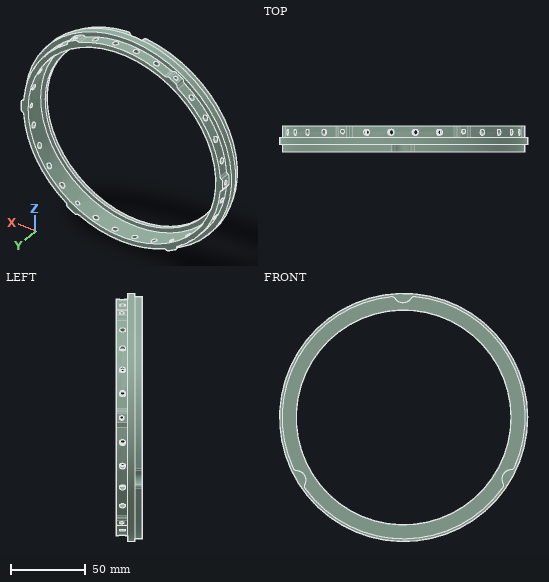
import cadquery as cq
import math

outer_radius = 83.8
front_radius = 82.0
band_radius = 80.0

bore_radius = 72.5
recess_radius = 76.1
lip_length = 2.5

front_length = 5.0
flange_length = 5.0
band_length = 7.7
total_length = front_length + flange_length + band_length
band_start = front_length + flange_length
front_face_y = -total_length / 2

clocking_angle = 0.3

hole_count = 30
hole_pitch = 360 / hole_count
hole_diameter = 4.0
hole_from_back = 4.4
boss_hole_diameter = 3.0

boss_count = 6
boss_radius = 81.8
boss_flat_half_width = 3.0
boss_blend = 2.0

notch_count = 3
notch_first_angle = 90
notch_radius = 6.4
notch_centre = 83.8
notch_blend = 2.5


def polar(radius, angle):
    """Point at a radius and an angle in radians."""
    return radius * math.cos(angle), radius * math.sin(angle)


def toward(start, end, distance):
    """Point at a distance from start, in the direction of end."""
    ratio = distance / math.dist(start, end)
    return start[0] + ratio * (end[0] - start[0]), start[1] + ratio * (end[1] - start[1])


def arc_middle(centre, first, second, radius):
    """Middle point of the short arc between two points around a centre."""
    halfway = ((first[0] + second[0]) / 2, (first[1] + second[1]) / 2)
    return toward(centre, halfway, radius)


def mirrored(point):
    return point[0], -point[1]


def crossing_angle(radius_a, radius_b, distance):
    """Angle in radians between two spokes from the ring axis whose ends are a distance apart."""
    return math.acos((radius_a**2 + radius_b**2 - distance**2) / (2 * radius_a * radius_b))


def disc(radius, start, length):
    """Round disc along Y, measured from the front face."""
    return cq.Workplane("XZ", origin=(0, front_face_y + start, 0)).circle(radius).extrude(-length)


def spin(body, angle):
    """Turn a body about the ring axis, from +X toward +Z."""
    return body.rotate((0, 0, 0), (0, 1, 0), -angle)


def make_boss():
    """Pad on the +X side of the band."""
    round_centre = (boss_radius - boss_blend, boss_flat_half_width)
    hollow_reach = band_radius + boss_blend
    hollow_angle = math.atan2(round_centre[1], round_centre[0]) + crossing_angle(
        hollow_reach, math.hypot(*round_centre), 2 * boss_blend
    )
    hollow_centre = polar(hollow_reach, hollow_angle)

    foot = polar(band_radius, hollow_angle)
    turn = toward(hollow_centre, round_centre, boss_blend)
    top = (boss_radius, boss_flat_half_width)
    hollow_middle = arc_middle(hollow_centre, foot, turn, boss_blend)
    round_middle = arc_middle(round_centre, turn, top, boss_blend)
    root = polar((recess_radius + band_radius) / 2, hollow_angle)

    outline = (
        cq.Workplane("XZ", origin=(0, front_face_y + band_start, 0))
        .moveTo(*root)
        .lineTo(*foot)
        .threePointArc(hollow_middle, turn)
        .threePointArc(round_middle, top)
        .lineTo(*mirrored(top))
        .threePointArc(mirrored(round_middle), mirrored(turn))
        .threePointArc(mirrored(hollow_middle), mirrored(foot))
        .lineTo(*mirrored(root))
    )
    return outline.close().extrude(-band_length)


def make_notch():
    """Cutter for a scallop on the +X side of the front step, with rounded mouth edges."""
    lip_reach = front_radius - notch_blend
    lip_angle = crossing_angle(lip_reach, notch_centre, notch_radius + notch_blend)
    lip_centre = polar(lip_reach, lip_angle)
    scallop_centre = (notch_centre, 0)

    mouth = polar(front_radius, lip_angle)
    turn = toward(lip_centre, scallop_centre, notch_blend)
    lip_middle = arc_middle(lip_centre, mouth, turn, notch_blend)
    bottom = (notch_centre - notch_radius, 0)
    outside = polar(outer_radius, lip_angle)

    outline = (
        cq.Workplane("XZ", origin=(0, front_face_y, 0))
        .moveTo(*outside)
        .lineTo(*mouth)
        .threePointArc(lip_middle, turn)
        .threePointArc(bottom, mirrored(turn))
        .threePointArc(mirrored(lip_middle), mirrored(mouth))
        .lineTo(*mirrored(outside))
    )
    return outline.close().extrude(-front_length)


def make_hole(diameter, from_back):
    """Radial cutter through the band wall on the +X side."""
    hole_y = front_face_y + total_length - from_back
    start = (bore_radius + recess_radius) / 2
    return (
        cq.Workplane("YZ", origin=(start, hole_y, 0))
        .circle(diameter / 2)
        .extrude(outer_radius - start)
    )


result = disc(front_radius, 0, front_length)
result = result.union(disc(outer_radius, front_length, flange_length))
result = result.union(disc(band_radius, band_start, band_length))
result = result.cut(disc(bore_radius, 0, lip_length))
result = result.cut(disc(recess_radius, lip_length, total_length - lip_length))

boss = make_boss()
for index in range(boss_count):
    result = result.union(spin(boss, index * 360 / boss_count))

notch = make_notch()
for index in range(notch_count):
    result = result.cut(spin(notch, notch_first_angle + index * 360 / notch_count))

holes_per_boss = hole_count // boss_count
plain_hole = make_hole(hole_diameter, hole_from_back)
boss_hole = make_hole(boss_hole_diameter, band_length / 2)
for index in range(hole_count):
    hole = boss_hole if index % holes_per_boss == 0 else plain_hole
    result = result.cut(spin(hole, index * hole_pitch))

result = spin(result, clocking_angle)